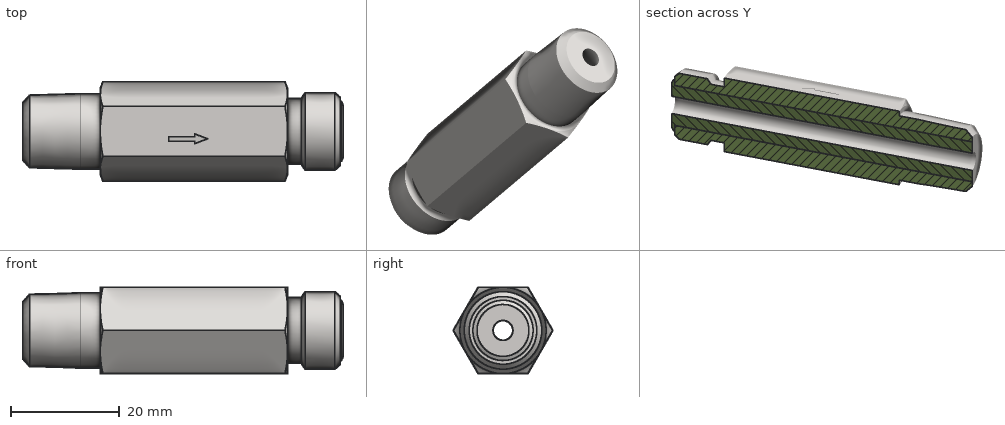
import cadquery as cq
import math

OVERALL_LENGTH = 58.9

HEX_START = 14.25
HEX_END = 48.65
HEX_ACROSS_CORNERS = 18.3
HEX_ACROSS_FLATS = HEX_ACROSS_CORNERS * math.cos(math.pi / 6)
HEX_CHAMFER_LENGTH = 0.5

TAPER_TIP_DIAMETER = 10.55
TAPER_SMALL_DIAMETER = 13.35
TAPER_LARGE_DIAMETER = 13.9
TAPER_CHAMFER_LENGTH = 1.3
TAPER_END = 10.55

NECK_DIAMETER = 12.1
SPIGOT_DIAMETER = 14.25
SPIGOT_START = 51.15
SPIGOT_BACK_CHAMFER_LENGTH = 0.7
SPIGOT_FRONT_CHAMFER_LENGTH = 1.0
SPIGOT_TIP_DIAMETER = 12.4

CORE_DIAMETER = 8.4
CORE_BORE_DIAMETER = 3.6
HEAD_DIAMETER = 11.05
HEAD_TIP_DIAMETER = 9.55
HEAD_THICKNESS = 0.55
HEAD_CHAMFER_LENGTH = 0.35
HOUSING_END = OVERALL_LENGTH - HEAD_THICKNESS

ARROW_START = 26.8
ARROW_LENGTH = 7.2
ARROW_HEAD_LENGTH = 2.35
ARROW_SHAFT_WIDTH = 0.8
ARROW_HEAD_WIDTH = 1.75
ARROW_OFFSET_Y = -1.35
ARROW_DEPTH = 0.1


def cylinder_x(diameter, start, end):
    """Cylinder around the X axis between two X positions."""
    return cq.Workplane("YZ", origin=(start, 0, 0)).circle(diameter / 2).extrude(end - start)


def revolve_x(stations):
    """Solid of revolution around the X axis from (x, diameter) stations."""
    outline = [(x, diameter / 2) for x, diameter in stations]
    first_x = stations[0][0]
    last_x = stations[-1][0]
    profile = cq.Workplane("XY").polyline([(first_x, 0), *outline, (last_x, 0)]).close()
    return profile.revolve(360, (0, 0, 0), (1, 0, 0))


def make_hex_body():
    """Hexagonal prism whose corners are trimmed by a cone at each end."""
    prism = (
        cq.Workplane("YZ", origin=(HEX_START, 0, 0))
        .polygon(6, HEX_ACROSS_CORNERS)
        .extrude(HEX_END - HEX_START)
    )
    corner_trim = revolve_x([
        (HEX_START, HEX_ACROSS_FLATS),
        (HEX_START + HEX_CHAMFER_LENGTH, HEX_ACROSS_CORNERS),
        (HEX_END - HEX_CHAMFER_LENGTH, HEX_ACROSS_CORNERS),
        (HEX_END, HEX_ACROSS_FLATS),
    ])
    return prism.intersect(corner_trim)


def make_tapered_spigot():
    """Chamfered, tapered spigot with a straight collar next to the hexagon."""
    return revolve_x([
        (0, TAPER_TIP_DIAMETER),
        (TAPER_CHAMFER_LENGTH, TAPER_SMALL_DIAMETER),
        (TAPER_END, TAPER_LARGE_DIAMETER),
        (HEX_START, TAPER_LARGE_DIAMETER),
    ])


def make_straight_spigot():
    """Undercut neck followed by a spigot chamfered at both ends."""
    return revolve_x([
        (HEX_END, NECK_DIAMETER),
        (SPIGOT_START, NECK_DIAMETER),
        (SPIGOT_START + SPIGOT_BACK_CHAMFER_LENGTH, SPIGOT_DIAMETER),
        (HOUSING_END - SPIGOT_FRONT_CHAMFER_LENGTH, SPIGOT_DIAMETER),
        (HOUSING_END, SPIGOT_TIP_DIAMETER),
    ])


def make_arrow_cut():
    """Shallow arrow pointing toward +X, sunk into the top flat."""
    half_shaft = ARROW_SHAFT_WIDTH / 2
    half_head = ARROW_HEAD_WIDTH / 2
    neck_x = ARROW_LENGTH - ARROW_HEAD_LENGTH
    top = HEX_ACROSS_FLATS / 2
    return (
        cq.Workplane("XY", origin=(ARROW_START, ARROW_OFFSET_Y, top))
        .polyline([
            (0, -half_shaft),
            (neck_x, -half_shaft),
            (neck_x, -half_head),
            (ARROW_LENGTH, 0),
            (neck_x, half_head),
            (neck_x, half_shaft),
            (0, half_shaft),
        ])
        .close()
        .extrude(-ARROW_DEPTH)
    )


def make_housing():
    """Hexagonal housing with both spigots, bored through for the core."""
    outside = make_hex_body().union(make_tapered_spigot()).union(make_straight_spigot())
    core_hole = cylinder_x(CORE_DIAMETER, 0, HOUSING_END)
    return outside.cut(core_hole).cut(make_arrow_cut())


def make_core():
    """Sleeve, flush at the -X end, with a chamfered head at the +X end."""
    outside = revolve_x([
        (0, CORE_DIAMETER),
        (HOUSING_END, CORE_DIAMETER),
        (HOUSING_END, HEAD_DIAMETER),
        (OVERALL_LENGTH - HEAD_CHAMFER_LENGTH, HEAD_DIAMETER),
        (OVERALL_LENGTH, HEAD_TIP_DIAMETER),
    ])
    return outside.cut(cylinder_x(CORE_BORE_DIAMETER, 0, OVERALL_LENGTH))


housing = make_housing().solids()
core = make_core().solids()

result = cq.Compound.makeCompound([housing.val(), core.val()])